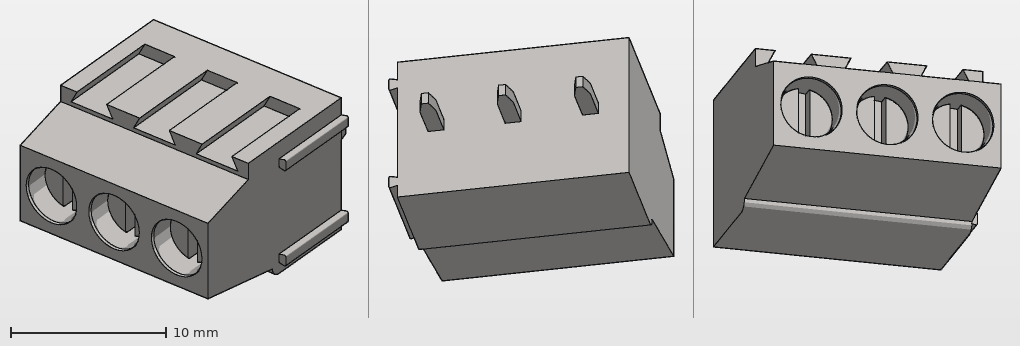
import cadquery as cq

pole_count = 3
pitch = 5.08
body_width = pole_count * pitch
body_depth = 14.1
body_height = 10.1

front_face_bottom = 1.9
front_face_top = 7.69
top_step_y = 4.27
top_step_z = 8.86
bottom_step_y = 6.82
bottom_round_radius = 0.7

pocket_top_width = 2.41
pocket_floor_width = 3.37
pocket_depth = 0.93
pocket_back_y = body_depth - 2.66

well_z = (front_face_bottom + front_face_top) / 2
mouth_diameter = 4.1
mouth_depth = 0.25
bore_diameter = 3.86
lead_in_depth = 0.3
screw_depth = 1.7
screw_edge_radius = 0.21
slot_width = 0.77
slot_depth = 1.0

pin_length = 3.5
pin_width = 1.05
pin_thickness = 0.78
pin_tip_length = 1.0
pin_tip_width = 0.46
pin_z = body_height / 2

rail_projection = 0.57
rail_length = 6.6
rail_root_height = 0.62
rail_outer_height = 0.84
rail_edge_radius = 0.13
rail_heights = (1.18, 8.48)

pole_positions = [(index + 0.5) * pitch for index in range(pole_count)]


def make_housing():
    """Housing profile in the YZ plane, extruded across all poles."""
    return (
        cq.Workplane("YZ")
        .moveTo(0, front_face_bottom)
        .lineTo(0, front_face_top)
        .lineTo(top_step_y, top_step_z)
        .lineTo(top_step_y, body_height)
        .lineTo(body_depth, body_height)
        .lineTo(body_depth, 0)
        .lineTo(bottom_step_y + bottom_round_radius, 0)
        .radiusArc((bottom_step_y, bottom_round_radius), bottom_round_radius)
        .close()
        .extrude(body_width)
    )


def make_marker_pocket(x):
    """Dovetail pocket, open at the front step and undercut along its sides."""
    floor_z = body_height - pocket_depth
    return (
        cq.Workplane("XZ", origin=(x, top_step_y, 0))
        .moveTo(-pocket_floor_width / 2, floor_z)
        .lineTo(pocket_floor_width / 2, floor_z)
        .lineTo(pocket_top_width / 2, body_height)
        .lineTo(-pocket_top_width / 2, body_height)
        .close()
        .extrude(-(pocket_back_y - top_step_y))
    )


def make_screw_head():
    """Round-edged screw head, its axis along Y, with a slot across its full height."""
    head = (
        cq.Workplane("XZ", origin=(0, screw_depth, 0))
        .circle(bore_diameter / 2)
        .extrude(-slot_depth)
        .faces("<Y")
        .edges()
        .fillet(screw_edge_radius)
    )
    slot = cq.Workplane("XY", origin=(0, screw_depth, 0)).box(slot_width, 2 * slot_depth, bore_diameter)
    return head.cut(slot)


def make_screw_well(x):
    """Void of one screw well: stepped mouth and bore down to the slot floor, less the screw head."""
    mouth_radius = mouth_diameter / 2
    bore_radius = bore_diameter / 2
    lead_in_step = mouth_radius - bore_radius
    lead_in_radius = (lead_in_depth**2 + lead_in_step**2) / (2 * lead_in_step)
    lead_in_end = mouth_depth + lead_in_depth
    slot_floor = screw_depth + slot_depth
    bore = (
        cq.Workplane("YZ")
        .lineTo(0, -mouth_radius)
        .lineTo(mouth_depth, -mouth_radius)
        .radiusArc((lead_in_end, -bore_radius), lead_in_radius)
        .lineTo(slot_floor, -bore_radius)
        .lineTo(slot_floor, 0)
        .close()
        .revolve(360, (0, 0, 0), (1, 0, 0))
    )
    return bore.cut(make_screw_head()).translate((x, 0, well_z))


def make_pin(x):
    """Flat solder pin with a tapered tip."""
    shoulder_y = pin_length - pin_tip_length
    return (
        cq.Workplane("XY", origin=(x, body_depth, pin_z - pin_thickness / 2))
        .moveTo(-pin_width / 2, 0)
        .lineTo(pin_width / 2, 0)
        .lineTo(pin_width / 2, shoulder_y)
        .lineTo(pin_tip_width / 2, pin_length)
        .lineTo(-pin_tip_width / 2, pin_length)
        .lineTo(-pin_width / 2, shoulder_y)
        .close()
        .extrude(pin_thickness)
    )


def make_rail(z):
    """Dovetail rail running forward from the back face, its outer edges rounded."""
    round_start_x = rail_projection - rail_edge_radius
    half_outer = rail_outer_height / 2
    half_face = half_outer - rail_edge_radius
    return (
        cq.Workplane("XZ", origin=(body_width, body_depth, z))
        .moveTo(0, -rail_root_height / 2)
        .lineTo(round_start_x, -half_outer)
        .radiusArc((rail_projection, -half_face), -rail_edge_radius)
        .lineTo(rail_projection, half_face)
        .radiusArc((round_start_x, half_outer), -rail_edge_radius)
        .lineTo(0, rail_root_height / 2)
        .close()
        .extrude(rail_length)
    )


result = make_housing()
for pole_x in pole_positions:
    result = result.cut(make_marker_pocket(pole_x))
    result = result.cut(make_screw_well(pole_x))
    result = result.union(make_pin(pole_x))
for rail_z in rail_heights:
    result = result.union(make_rail(rail_z))